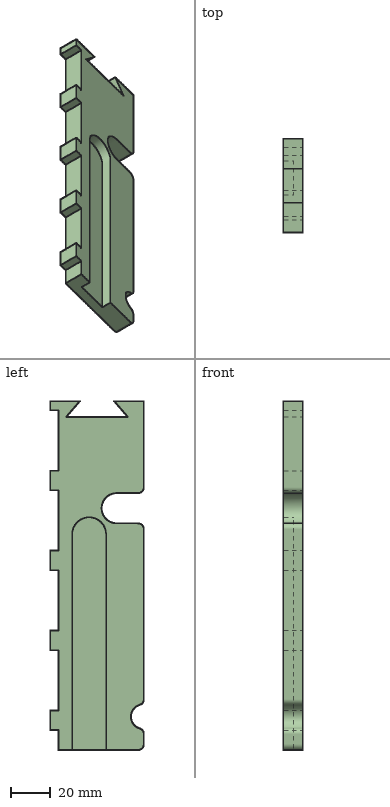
import cadquery as cq
import math

thickness = 10.0
width = 47.0
height = 175.0
corner_radius = 3.0

tooth_depth = 4.2
tooth_height = 10.0
tooth_pitch = 40.0
first_tooth_z = 10.0
tooth_count = 5

dovetail_opening = 17.0
dovetail_base = 30.6
dovetail_depth = 7.9

slot_width = 15.0
slot_depth = 21.2
slot_z = 121.3

notch_radius = 6.1
notch_center_y = 0.4
notch_z = 16.8

channel_width = 17.0
channel_depth = 5.0
channel_y = 27.5
channel_top_z = 116.7


def box(x_size, y_start, y_end, z_start, z_end):
    """Block starting at X = 0 that spans the given Y and Z ranges."""
    size = (x_size, y_end - y_start, z_end - z_start)
    return cq.Workplane("XY").box(*size, centered=False).translate((0, y_start, z_start))


def disc(x_size, radius, y, z):
    """Cylinder along X starting at X = 0."""
    return cq.Workplane("YZ").center(y, z).circle(radius).extrude(x_size)


def make_plate():
    body_width = width - tooth_depth
    plate = box(thickness, 0, body_width, 0, height)
    for index in range(tooth_count):
        bottom = first_tooth_z + index * tooth_pitch
        top = min(bottom + tooth_height, height)
        plate = plate.union(box(thickness, body_width, width, bottom, top))
    return plate


def make_dovetail():
    middle = width / 2
    floor_z = height - dovetail_depth
    return (
        cq.Workplane("YZ")
        .moveTo(middle - dovetail_opening / 2, height)
        .lineTo(middle - dovetail_base / 2, floor_z)
        .lineTo(middle + dovetail_base / 2, floor_z)
        .lineTo(middle + dovetail_opening / 2, height)
        .close()
        .extrude(thickness)
    )


def make_slot():
    radius = slot_width / 2
    end_y = slot_depth - radius
    straight = box(thickness, 0, end_y, slot_z - radius, slot_z + radius)
    return straight.union(disc(thickness, radius, end_y, slot_z))


def make_channel():
    radius = channel_width / 2
    end_z = channel_top_z - radius
    straight = box(channel_depth, channel_y - radius, channel_y + radius, 0, end_z)
    return straight.union(disc(channel_depth, radius, channel_y, end_z))


def round_front_corners(plate):
    """Round the slot and notch mouths and the bottom corner on the -Y edge."""
    notch_half_mouth = math.sqrt(notch_radius**2 - notch_center_y**2)
    corner_heights = (
        0,
        notch_z - notch_half_mouth,
        notch_z + notch_half_mouth,
        slot_z - slot_width / 2,
        slot_z + slot_width / 2,
    )
    for z in corner_heights:
        corner = cq.selectors.NearestToPointSelector((thickness / 2, 0, z))
        plate = plate.edges("|X").edges(corner).fillet(corner_radius)
    return plate


plate = make_plate()
plate = plate.cut(make_dovetail())
plate = plate.cut(make_slot())
plate = plate.cut(disc(thickness, notch_radius, notch_center_y, notch_z))
plate = round_front_corners(plate)
result = plate.cut(make_channel())